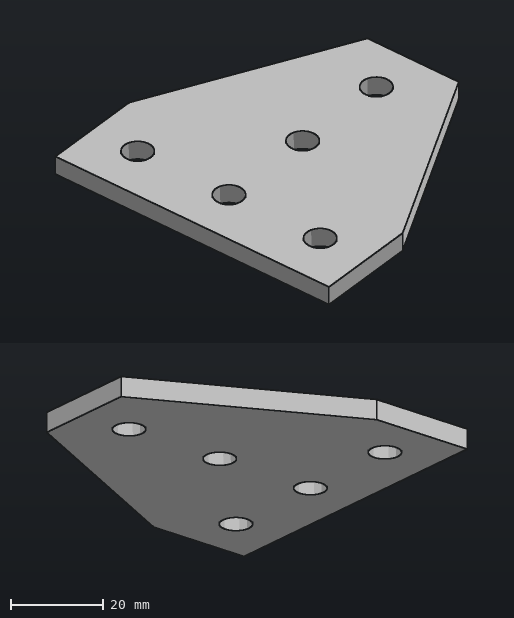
import cadquery as cq

side = 76.2
thickness = 4.8
pitch = side / 3
hole_diameter = 7.25

half_side = side / 2
half_pitch = pitch / 2
shoulder_y = -half_side + pitch

outline = [
    (-half_side, -half_side),
    (half_side, -half_side),
    (half_side, shoulder_y),
    (half_pitch, half_side),
    (-half_pitch, half_side),
    (-half_side, shoulder_y),
]
plate = cq.Workplane("XY").polyline(outline).close().extrude(thickness)

base_row = [(column * pitch, -pitch) for column in (-1, 0, 1)]
stem = [(0, row * pitch) for row in (0, 1)]
holes = (
    cq.Workplane("XY")
    .pushPoints(base_row + stem)
    .circle(hole_diameter / 2)
    .extrude(thickness)
)

result = plate.cut(holes)